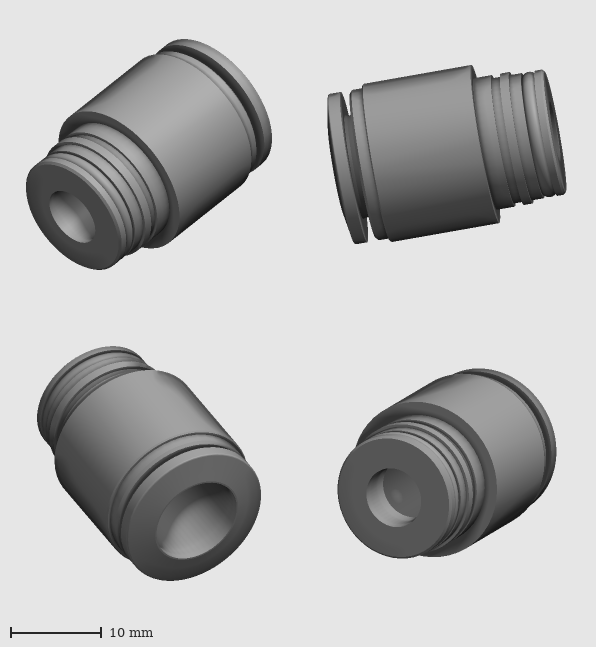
import cadquery as cq
import math


length = 24.47
bore_diameter = 6.7
socket_diameter = 10.0
socket_start = 4.23

tip_radius = 14.0 / 2
tip_chamfer = 0.25
ring_groove_start = 1.0
ring_groove_end = 2.5
ring_section_radius = 0.88
land_radius = 14.7 / 2
land_start = 3.8
land_end = 4.8
shoulder_groove_end = 5.8

body_radius = 17.7 / 2
body_start = 7.8
body_end = 20.0
body_chamfer = 0.15
collar_radius = 16.8 / 2
collar_end = 21.48
collar_chamfer = 0.3

neck_radius = 11.4 / 2
neck_flare = 0.1
neck_flare_length = 0.35
cap_start = 22.51
cap_radius = collar_radius
cap_flat_radius = 5.19
cap_cone_height = 0.59
cap_corner_radius = 0.2


def cylinder(radius, start, end):
    """Solid cylinder along Y between two stations."""
    return cq.Workplane("XZ", origin=(0, start, 0)).circle(radius).extrude(start - end)


def revolve_about_y(profile):
    """Full turn of a closed XY profile about the Y axis."""
    return profile.revolve(360, (0, 0, 0), (0, 1, 0))


def insertion_end():
    """Stepped spigot; the O-ring bulges to the tip radius and is trimmed by its groove walls."""
    tip = cylinder(tip_radius, 0, ring_groove_start).faces("<Y").chamfer(tip_chamfer)
    ring_middle = (ring_groove_start + ring_groove_end) / 2
    half_width = (ring_groove_end - ring_groove_start) / 2
    ring_centre_radius = tip_radius - ring_section_radius
    ring_edge_radius = ring_centre_radius + math.sqrt(ring_section_radius**2 - half_width**2)
    ring = revolve_about_y(
        cq.Workplane("XY")
        .moveTo(0, ring_groove_start)
        .lineTo(ring_edge_radius, ring_groove_start)
        .threePointArc((tip_radius, ring_middle), (ring_edge_radius, ring_groove_end))
        .lineTo(0, ring_groove_end)
        .close()
    )
    grooved_stem = cylinder(tip_radius, ring_groove_end, shoulder_groove_end)
    land = cylinder(land_radius, land_start, land_end)
    shoulder = cylinder(land_radius, shoulder_groove_end, body_start)
    return tip.union(ring).union(grooved_stem).union(land).union(shoulder)


def body():
    """Main barrel and the smaller collar behind it, each chamfered at its rear edge."""
    barrel = cylinder(body_radius, body_start, body_end).faces(">Y").chamfer(body_chamfer)
    collar = cylinder(collar_radius, body_end, collar_end).faces(">Y").chamfer(collar_chamfer)
    return barrel.union(collar)


def release_button():
    """Neck flaring into a cap with a flat-topped conical rear face and a rounded rim."""
    neck = revolve_about_y(
        cq.Workplane("XY")
        .moveTo(0, collar_end)
        .lineTo(neck_radius, collar_end)
        .lineTo(neck_radius, cap_start - neck_flare_length)
        .lineTo(neck_radius + neck_flare, cap_start)
        .lineTo(0, cap_start)
        .close()
    )
    cone_start = length - cap_cone_height
    cap = revolve_about_y(
        cq.Workplane("XY")
        .moveTo(0, cap_start)
        .lineTo(cap_radius, cap_start)
        .lineTo(cap_radius, cone_start)
        .lineTo(cap_flat_radius, length)
        .lineTo(0, length)
        .close()
    )
    rim = cq.selectors.BoxSelector(
        (-length, cone_start - cap_corner_radius / 2, -length),
        (length, cone_start + cap_corner_radius / 2, length),
        boundingbox=False,
    )
    cap = cap.edges("%CIRCLE").edges(rim).fillet(cap_corner_radius)
    return neck.union(cap)


result = (
    insertion_end()
    .union(body())
    .union(release_button())
    .cut(cylinder(bore_diameter / 2, 0, length))
    .cut(cylinder(socket_diameter / 2, socket_start, length))
)